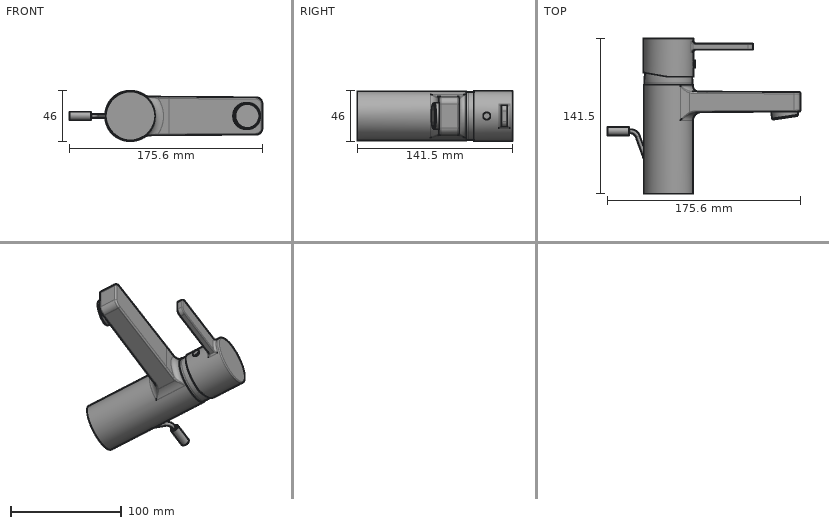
import cadquery as cq
import math

OVERLAP = 1.8

BODY_RADIUS = 22.5
BODY_TOP = 99.0
NECK_RADIUS = 22.0
NECK_RING_TOP = 101.0
NECK_TOP_RADIUS = 20.9
NECK_TOP = 110.6
NECK_BULGE = 0.4

CAP_RADIUS = 23.0
CAP_TOP = 141.5
CAP_BOTTOM = 106.2
CAP_BACK_BOTTOM = 110.3
CAP_EDGE = 1.0

LEVER_TIP = 77.0
LEVER_BOTTOM = 130.8
LEVER_THICKNESS = 5.8
LEVER_WIDTH = 19.7
LEVER_CORNER = 5.1
LEVER_EDGE = 0.9
LEVER_BLEND = 2.1

BUTTON_TIP = 24.2
BUTTON_HEIGHT = 117.8
BUTTON_RADIUS = 3.3

SPOUT_TIP = 120.1
SPOUT_ROOT_BOTTOM = 74.1
SPOUT_ROOT_TOP = 93.0
SPOUT_ROOT_HALF_WIDTH = 17.7
SPOUT_TIP_HALF_WIDTH = 17.0
SPOUT_TIP_DROP = 0.5
SPOUT_CORNER = 6.1
SPOUT_EDGE = 1.5
SPOUT_SIDE_BLEND = 17.5
SPOUT_LOWER_BLEND = 7.4
SPOUT_UPPER_BLEND = 5.0

AERATOR_CENTRE = (106.2, 69.0)
AERATOR_TILT = 8.4
AERATOR_RADIUS = 12.1
AERATOR_CHAMFER = 1.2
AERATOR_LENGTH = 8.8

ROD_RADIUS = 2.0
ROD_HEIGHT = 56.9
ROD_BEND_START = -34.5
ROD_BEND_RADIUS = 7.0
ROD_SLOPE = 70.0
ROD_TAIL = 28.1
KNOB_RADIUS = 4.0
KNOB_BACK = -55.5
KNOB_FRONT = -35.6
KNOB_EDGE = 0.5


def cylinder_up(radius, bottom, top):
    """Cylinder on the body axis."""
    return cq.Workplane("XZ", origin=(0, bottom, 0)).circle(radius).extrude(bottom - top)


def make_neck():
    """Short straight ring followed by a gently domed neck."""
    middle_radius = (NECK_RADIUS + NECK_TOP_RADIUS) / 2 + NECK_BULGE
    middle = (middle_radius, (NECK_RING_TOP + NECK_TOP) / 2)
    return (
        cq.Workplane("XY")
        .moveTo(0, BODY_TOP - OVERLAP)
        .lineTo(NECK_RADIUS, BODY_TOP - OVERLAP)
        .lineTo(NECK_RADIUS, NECK_RING_TOP)
        .threePointArc(middle, (NECK_TOP_RADIUS, NECK_TOP))
        .lineTo(0, NECK_TOP)
        .close()
        .revolve(360, (0, 0, 0), (0, 1, 0))
    )


def make_cap():
    """Cap whose lower rim slopes up from the axis towards the back."""
    cap = cylinder_up(CAP_RADIUS, CAP_BOTTOM, CAP_TOP).faces(">Y").edges().fillet(CAP_EDGE)
    rim_cut = (
        cq.Workplane("XY")
        .polyline([(0, CAP_BOTTOM), (-CAP_RADIUS, CAP_BACK_BOTTOM), (-CAP_RADIUS, CAP_BOTTOM)])
        .close()
        .extrude(CAP_RADIUS, both=True)
    )
    return cap.cut(rim_cut)


def flare_start(core_radius, half_width, flare_radius):
    """X at which the straight side of an arm starts to curve out towards a round core."""
    return math.sqrt((core_radius + flare_radius) ** 2 - (half_width + flare_radius) ** 2)


def arm_plan(core_radius, root_half_width, tip_half_width, tip, flare_radius, corner_radius, top):
    """Tall prism over an arm's plan: tangent flares at the core, rounded corners at the tip."""
    start = flare_start(core_radius, root_half_width, flare_radius)
    flare_centre_z = root_half_width + flare_radius
    to_core = math.atan2(-flare_centre_z, -start)
    middle_angle = (to_core - math.pi / 2) / 2

    def on_flare(angle):
        return (start + flare_radius * math.cos(angle), flare_centre_z + flare_radius * math.sin(angle))

    core_x, core_z = on_flare(to_core)
    middle_x, middle_z = on_flare(middle_angle)
    return (
        cq.Workplane("XZ")
        .moveTo(0, -core_z)
        .lineTo(core_x, -core_z)
        .threePointArc((middle_x, -middle_z), (start, -root_half_width))
        .lineTo(tip, -tip_half_width)
        .lineTo(tip, tip_half_width)
        .lineTo(start, root_half_width)
        .threePointArc((middle_x, middle_z), (core_x, core_z))
        .lineTo(0, core_z)
        .close()
        .extrude(-top)
        .edges("|Y and >X")
        .fillet(corner_radius)
    )


def make_collar(core_radius, bottom, top, lower_radius, upper_radius):
    """Disc around the core whose faces sweep into it with concave blends."""
    rim = core_radius + lower_radius + upper_radius
    diagonal = math.sqrt(0.5)
    lower_middle = (
        core_radius + lower_radius * (1 - diagonal),
        bottom - lower_radius * (1 - diagonal),
    )
    upper_middle = (
        core_radius + upper_radius * (1 - diagonal),
        top + upper_radius * (1 - diagonal),
    )
    return (
        cq.Workplane("XY")
        .moveTo(0, bottom - lower_radius)
        .lineTo(core_radius, bottom - lower_radius)
        .threePointArc(lower_middle, (core_radius + lower_radius, bottom))
        .lineTo(rim, bottom)
        .lineTo(rim, top)
        .lineTo(core_radius + upper_radius, top)
        .threePointArc(upper_middle, (core_radius, top + upper_radius))
        .lineTo(0, top + upper_radius)
        .close()
        .revolve(360, (0, 0, 0), (0, 1, 0))
    )


def make_lever():
    """Flat lever reaching forward from the cap, blended into it at the root."""
    top = LEVER_BOTTOM + LEVER_THICKNESS
    half_width = LEVER_WIDTH / 2
    plan = arm_plan(CAP_RADIUS, half_width, half_width, LEVER_TIP, LEVER_BLEND, LEVER_CORNER, CAP_TOP)
    bar = cq.Workplane("XY").box(LEVER_TIP, LEVER_THICKNESS, LEVER_WIDTH * 2)
    bar = bar.translate((LEVER_TIP / 2, LEVER_BOTTOM + LEVER_THICKNESS / 2, 0))
    collar = make_collar(CAP_RADIUS, LEVER_BOTTOM, top, LEVER_BLEND, LEVER_BLEND)
    return round_long_edges(bar.union(collar).intersect(plan), CAP_RADIUS + LEVER_BLEND, LEVER_EDGE)


def round_long_edges(arm, start, radius):
    """Round the upper and lower outlines of an arm beyond its root blend."""
    outline = cq.selectors.BoxSelector((start, 0, -CAP_RADIUS), (SPOUT_TIP, CAP_TOP, CAP_RADIUS))
    return arm.edges(outline).edges("not(|Y)").fillet(radius)


def make_button():
    """Small round marker on the front of the cap."""
    return (
        cq.Workplane("YZ", origin=(CAP_RADIUS - OVERLAP, BUTTON_HEIGHT, 0))
        .circle(BUTTON_RADIUS)
        .extrude(BUTTON_TIP - CAP_RADIUS + OVERLAP)
    )


def make_spout():
    """Flat bar, blended into the body, that narrows slightly in both directions towards its tip."""
    taper_start = BODY_RADIUS + SPOUT_LOWER_BLEND + SPOUT_UPPER_BLEND
    side_profile = [
        (0, SPOUT_ROOT_BOTTOM),
        (taper_start, SPOUT_ROOT_BOTTOM),
        (SPOUT_TIP, SPOUT_ROOT_BOTTOM + SPOUT_TIP_DROP),
        (SPOUT_TIP, SPOUT_ROOT_TOP - SPOUT_TIP_DROP),
        (taper_start, SPOUT_ROOT_TOP),
        (0, SPOUT_ROOT_TOP),
    ]
    bar = cq.Workplane("XY").polyline(side_profile).close().extrude(BODY_RADIUS, both=True)
    collar = make_collar(
        BODY_RADIUS, SPOUT_ROOT_BOTTOM, SPOUT_ROOT_TOP, SPOUT_LOWER_BLEND, SPOUT_UPPER_BLEND
    )
    plan = arm_plan(
        BODY_RADIUS,
        SPOUT_ROOT_HALF_WIDTH,
        SPOUT_TIP_HALF_WIDTH,
        SPOUT_TIP,
        SPOUT_SIDE_BLEND,
        SPOUT_CORNER,
        CAP_TOP,
    )
    return round_long_edges(bar.union(collar).intersect(plan), taper_start, SPOUT_EDGE)


def make_aerator():
    """Tilted round outlet with a chamfered lower rim."""
    tilt = math.radians(AERATOR_TILT)
    face = cq.Plane(
        origin=(*AERATOR_CENTRE, 0),
        xDir=(0, 0, 1),
        normal=(-math.sin(tilt), math.cos(tilt), 0),
    )
    return (
        cq.Workplane(face)
        .circle(AERATOR_RADIUS)
        .extrude(AERATOR_LENGTH)
        .faces("<Y")
        .chamfer(AERATOR_CHAMFER)
    )


def make_pull_rod():
    """Knob and bent rod that dives into the back of the body."""
    knob = (
        cq.Workplane("YZ", origin=(KNOB_BACK, ROD_HEIGHT, 0))
        .circle(KNOB_RADIUS)
        .extrude(KNOB_FRONT - KNOB_BACK)
        .edges()
        .chamfer(KNOB_EDGE)
    )
    slope = math.radians(ROD_SLOPE)

    def on_bend(angle):
        return (
            ROD_BEND_START + ROD_BEND_RADIUS * math.sin(angle),
            ROD_HEIGHT - ROD_BEND_RADIUS * (1 - math.cos(angle)),
        )

    bend_end = on_bend(slope)
    tail = (bend_end[0] + ROD_TAIL * math.cos(slope), bend_end[1] - ROD_TAIL * math.sin(slope))
    path = (
        cq.Workplane("XY")
        .moveTo(KNOB_FRONT - OVERLAP, ROD_HEIGHT)
        .lineTo(ROD_BEND_START, ROD_HEIGHT)
        .threePointArc(on_bend(slope / 2), bend_end)
        .lineTo(*tail)
    )
    rod = (
        cq.Workplane("YZ", origin=(KNOB_FRONT - OVERLAP, ROD_HEIGHT, 0))
        .circle(ROD_RADIUS)
        .sweep(path)
    )
    return knob.union(rod)


result = cylinder_up(BODY_RADIUS, 0, BODY_TOP)
for piece in (
    make_spout(),
    make_neck(),
    make_cap(),
    make_lever(),
    make_button(),
    make_aerator(),
    make_pull_rod(),
):
    result = result.union(piece)